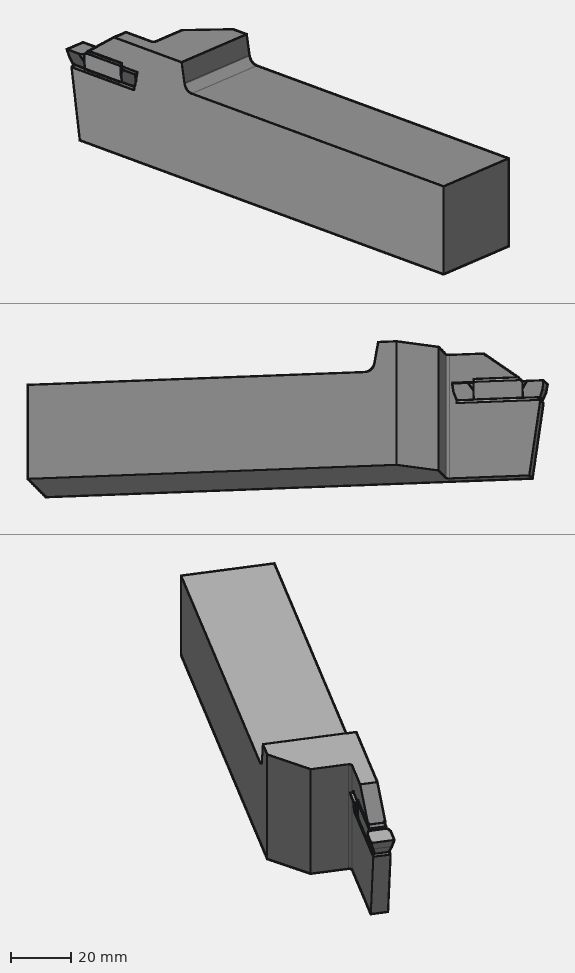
import cadquery as cq
import math

length = 170.0
shank = 32.0
total_height = 42.0
blade_width = 6.0
front_top_x = 1.2
front_bottom_x = 5.0
jaw_slope_end_x = 20.4
step_x = 51.2
step_angle = 10.0
step_fillet = 3.4
shoulder_x = 33.0
shoulder_y = 19.9
shoulder_end_x = 44.9
shoulder_fillet = 1.0

seat_bottom = 26.5
seat_top = 32.5
ridge_height = 1.0
ridge_side_bevel = 0.3
jaw_tip_x = 8.7

insert_length = 31.0
head_length = 7.1
head_overhang = 1.0
head_taper = 1.5
head_top = shank
land_bottom = 29.2
land_lean = 0.3
nose_relief = 1.4
neck_ramp = 0.7
head_bevel_length = 1.7
head_bevel_depth = 0.7
rear_head_x = insert_length - head_length


def side_prism(points, start_y, width):
    """Extrude an XZ outline toward +Y from start_y."""
    return cq.Workplane("XZ", origin=(0, start_y, 0)).polyline(points).close().extrude(-width)


def make_ridge(front_x, rear_x, rim_z, face_z):
    """Strip raised from rim_z to face_z, bevelled at its front and along both sides."""
    profile = [
        (front_x, rim_z),
        (front_x + ridge_height, face_z),
        (rear_x, face_z),
        (rear_x, rim_z),
    ]
    ridge = side_prism(profile, 0, blade_width)
    section = [
        (0, rim_z),
        (ridge_side_bevel, face_z),
        (blade_width - ridge_side_bevel, face_z),
        (blade_width, rim_z),
    ]
    bevels = cq.Workplane("YZ", origin=(front_x, 0, 0)).polyline(section).close()
    return ridge.intersect(bevels.extrude(rear_x - front_x))


def make_insert_ridge():
    return make_ridge(jaw_tip_x - ridge_height, rear_head_x, seat_top, seat_top + ridge_height)


def make_insert_head():
    profile = [
        (0, head_top),
        (head_length, head_top),
        (head_length, seat_bottom),
        (nose_relief, seat_bottom),
        (land_lean, land_bottom),
    ]
    head = side_prism(profile, -head_overhang, blade_width + 2 * head_overhang)
    bottom_inset = head_taper - head_overhang
    section = [
        (-head_overhang, head_top),
        (blade_width + head_overhang, head_top),
        (blade_width - bottom_inset, seat_bottom),
        (bottom_inset, seat_bottom),
    ]
    taper = cq.Workplane("YZ").polyline(section).close().extrude(head_length)
    plan = [
        (0, -head_overhang),
        (head_length - head_bevel_length, -head_overhang),
        (head_length, head_bevel_depth - head_overhang),
        (head_length, blade_width + head_overhang - head_bevel_depth),
        (head_length - head_bevel_length, blade_width + head_overhang),
        (0, blade_width + head_overhang),
    ]
    corner_bevels = cq.Workplane("XY").polyline(plan).close().extrude(total_height)
    return head.intersect(taper).intersect(corner_bevels)


def make_insert():
    front_head = make_insert_head()
    rear_head = front_head.mirror("YZ").translate((insert_length, 0, 0))
    body_profile = [
        (head_length, seat_bottom),
        (rear_head_x, seat_bottom),
        (rear_head_x, seat_top),
        (head_length + neck_ramp, seat_top),
        (head_length, head_top),
    ]
    body = side_prism(body_profile, 0, blade_width)
    return body.union(make_insert_ridge()).union(front_head).union(rear_head)


def make_holder_blank():
    step_foot_x = step_x + (total_height - shank) * math.tan(math.radians(step_angle))
    jaw_bottom = seat_top + ridge_height
    profile = [
        (front_bottom_x, 0),
        (length, 0),
        (length, shank),
        (step_foot_x, shank),
        (step_x, total_height),
        (jaw_slope_end_x, total_height),
        (jaw_tip_x, jaw_bottom),
        (jaw_tip_x, seat_bottom - ridge_height),
        (front_top_x, seat_bottom - ridge_height),
    ]
    blank = side_prism(profile, 0, shank)
    step_corner = cq.selectors.BoxSelector(
        (step_foot_x - 0.2, -1.7, shank - 0.2), (step_foot_x + 0.2, shank + 1.7, shank + 0.2)
    )
    blank = blank.edges(step_corner).fillet(step_fillet)

    plan = [
        (0, 0),
        (length, 0),
        (length, shank),
        (shoulder_end_x, shank),
        (shoulder_x, shoulder_y),
        (shoulder_x, blade_width),
        (0, blade_width),
    ]
    plan_prism = cq.Workplane("XY").polyline(plan).close().extrude(total_height)
    shoulder_corner = cq.selectors.BoxSelector(
        (shoulder_x - 0.2, blade_width - 0.2, -1.7),
        (shoulder_x + 0.2, blade_width + 0.2, total_height + 1.7),
    )
    plan_prism = plan_prism.edges(shoulder_corner).fillet(shoulder_fillet)
    return blank.intersect(plan_prism)


def make_holder():
    holder = make_holder_blank()
    seat = [
        (0, seat_bottom),
        (insert_length - nose_relief, seat_bottom),
        (insert_length - land_lean, land_bottom),
        (insert_length, head_top),
        (insert_length, seat_top),
        (0, seat_top),
    ]
    holder = holder.cut(side_prism(seat, 0, blade_width))
    jaw_z = seat_top + ridge_height
    jaw_gap = [(0, seat_top), (rear_head_x, seat_top), (rear_head_x, jaw_z), (0, jaw_z)]
    holder = holder.cut(side_prism(jaw_gap, 0, blade_width))

    rim_z = seat_bottom - ridge_height
    floor_end_x = insert_length - nose_relief
    floor = [(0, rim_z), (floor_end_x, rim_z), (floor_end_x, seat_bottom), (0, seat_bottom)]
    holder = holder.cut(side_prism(floor, 0, blade_width))
    return holder.union(make_ridge(front_top_x, floor_end_x, rim_z, seat_bottom))


holder = make_holder()
insert = make_insert()
result = cq.Compound.makeCompound([holder.val(), insert.val()])